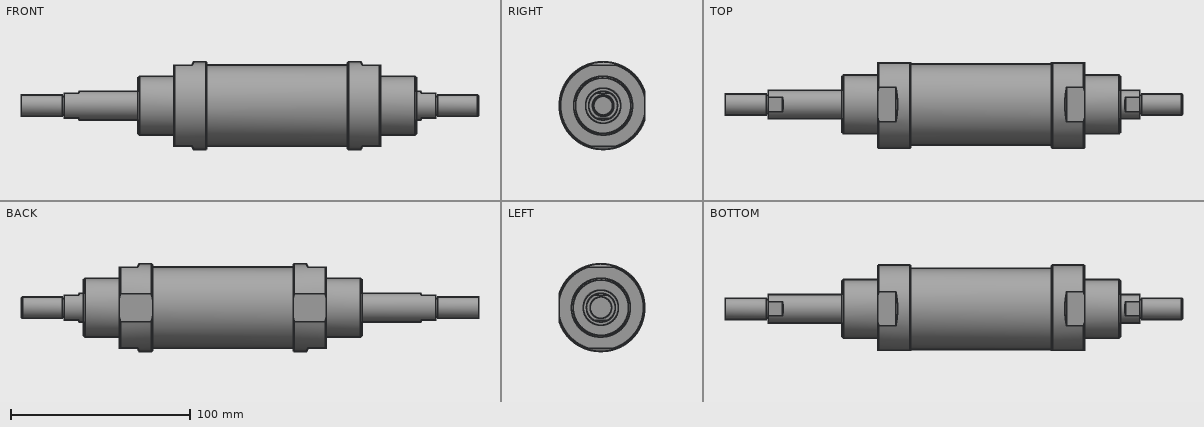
import cadquery as cq

total_length = 255.0

barrel_length = 78.3
barrel_diameter = 45.5

collar_length = 18.5
collar_diameter = 49.0
collar_chamfer = 0.8
side_flat_distance = 23.2
collar_wrench_width = 45.1
collar_wrench_length = 10.2
collar_wrench_run_out = 1.0
boss_length = 20.0
boss_diameter = 33.0
boss_chamfer = 1.0
recess_diameter = 19.6
recess_depth = 1.0

rod_diameter = 16.0
rod_wrench_width = 14.0
rod_wrench_length = 8.0
rod_wrench_run_out = 0.5
neck_length = 1.0
neck_diameter = 10.5
thin_end_length = 23.0
thin_end_diameter = 12.0
right_end_chamfer = 0.8
left_shaft_protrusion = 41.0

collar_inner = barrel_length / 2
collar_outer = collar_inner + collar_length
boss_end = collar_outer + boss_length
left_reach = boss_end + left_shaft_protrusion + neck_length + thin_end_length
right_reach = total_length - left_reach


def cylinder(start, length, diameter):
    """Cylinder on the X axis, from X = start towards +X."""
    return cq.Workplane("YZ", origin=(start, 0, 0)).circle(diameter / 2).extrude(length)


def cut_wrench_flats(body, end, length, width, diameter, run_out):
    """Cut flats facing +Z and -Z over the last stretch before X = end, with sloped inner ends."""
    flat_height = width / 2
    top_height = diameter / 2
    flat_start = end - length
    top_cutter = (
        cq.Workplane("XZ")
        .moveTo(flat_start, flat_height)
        .lineTo(end, flat_height)
        .lineTo(end, top_height)
        .lineTo(flat_start - run_out, top_height)
        .close()
        .extrude(diameter / 2, both=True)
    )
    return body.cut(top_cutter).cut(top_cutter.mirror("XY"))


def make_barrel():
    outside = cylinder(-collar_inner, barrel_length, barrel_diameter)
    return outside.cut(cylinder(-collar_inner, barrel_length, rod_diameter))


def make_collar():
    """Right collar with chamfered rims, a flat facing +Y and two wrench flats."""
    collar = cylinder(collar_inner, collar_length, collar_diameter).edges().chamfer(collar_chamfer)
    beyond_flat = (
        cq.Workplane("XY")
        .box(collar_length, collar_diameter, collar_diameter, centered=(False, False, True))
        .translate((collar_inner, side_flat_distance, 0))
    )
    return cut_wrench_flats(
        collar.cut(beyond_flat),
        collar_outer,
        collar_wrench_length,
        collar_wrench_width,
        collar_diameter,
        collar_wrench_run_out,
    )


def make_right_cap():
    boss = cylinder(collar_outer, boss_length, boss_diameter).faces(">X").chamfer(boss_chamfer)
    rod_hole = cylinder(collar_inner, collar_length + boss_length, rod_diameter)
    recess = cylinder(boss_end - recess_depth, recess_depth, recess_diameter)
    return make_collar().union(boss).cut(rod_hole).cut(recess)


def make_right_rod(reach):
    """Rod from the middle of the barrel to X = reach."""
    thin_end_start = reach - thin_end_length
    shoulder = thin_end_start - neck_length
    shaft = cut_wrench_flats(
        cylinder(0, shoulder, rod_diameter),
        shoulder,
        rod_wrench_length,
        rod_wrench_width,
        rod_diameter,
        rod_wrench_run_out,
    )
    neck = cylinder(shoulder, neck_length, neck_diameter)
    thin_end = cylinder(thin_end_start, thin_end_length, thin_end_diameter)
    return shaft.union(neck).union(thin_end)


barrel = make_barrel()

right_cap = make_right_cap()
caps = [right_cap, right_cap.mirror("YZ")]

right_rod = make_right_rod(right_reach).faces(">X").chamfer(right_end_chamfer)
left_rod = make_right_rod(left_reach).mirror("YZ")
rods = [right_rod, left_rod]

result = cq.Compound.makeCompound([body.val() for body in [barrel, *caps, *rods]])